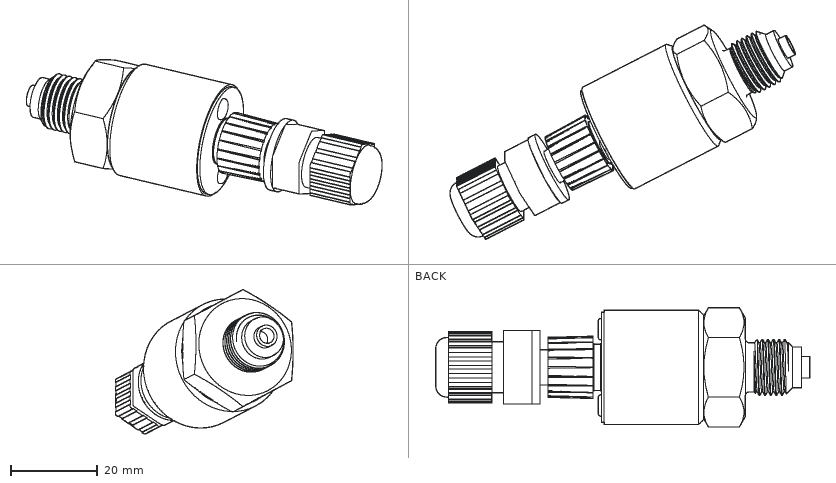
import cadquery as cq
import math


hex_sides = 6

tip_dia = 5.0
tip_end = 1.9
bore_dia = 3.55
bore_depth = 4.3
collar_dia = 9.5
collar_end = 4.0

thread_dia = 13.0
thread_root_dia = 11.45
thread_pitch = 1.3
thread_base_width = 1.2
thread_crest_width = 0.2
thread_end = 12.9
thread_root_overlap = 0.2
thread_clearance = 0.2
first_top_crest = 5.8
neck_fillet = 0.9

hex_start = 14.9
hex_end = 24.6
hex_corner_dia = 27.7
hex_front_face_dia = 22.8
hex_rear_face_dia = 23.8
hex_chamfer_angle = 30

housing_dia = 26.5
housing_chamfer = 1.1
housing_end = 47.7
cap_dia = 25.6
cap_end = 48.3
socket_dia = 11.0
socket_groove_dia = 10.75
socket_groove_start = 48.6
socket_groove_end = 50.05
socket_end = 57.25
screw_head_dia = 5.0
screw_head_height = 0.8
screw_head_fillet = 0.7
screw_spacing = 17.7

nut_start = 50.2
nut_end = 60.7
nut_front_dia = 14.5
nut_rear_dia = 14.0
nut_groove_count = 20
nut_groove_front_width = 0.2
nut_groove_rear_width = 0.4
nut_groove_depth = 0.3

stem_dia = 8.2
flange_start = 62.5
flange_dia = 17.1
flange_end = 64.4
gland_across_flats = 15.0
gland_corner_fillet = 0.8
gland_end = 71.0
gland_neck_dia = 11.9
cap_nut_start = 73.7
cap_nut_end = 83.8
cap_nut_across_flats = 14.5
cap_nut_corner_fillet = 0.7
cap_nut_groove_width = 1.0
cap_nut_groove_depth = 0.2
side_flat_grooves = (-2.95, -0.95, 0.95, 2.95)
slanted_flat_grooves = (-2.9, 0, 2.9)
dome_dia = 13.9
dome_fillet = 2.6
total_length = 86.7


def cylinder(dia, start, end):
    """Round bar along X."""
    return cq.Workplane("YZ", origin=(start, 0, 0)).circle(dia / 2).extrude(end - start)


def hexagon(across_flats, start, end):
    """Hexagonal bar along X with two flats facing -Y and +Y and corners on the Z axis."""
    corner_dia = across_flats / math.cos(math.pi / hex_sides)
    bar = cq.Workplane("YZ", origin=(start, 0, 0)).polygon(hex_sides, corner_dia).extrude(end - start)
    return bar.rotate((0, 0, 0), (1, 0, 0), 180 / hex_sides)


def revolve(points):
    """Solid of revolution about X from (x, radius) points that start and end on the axis."""
    return cq.Workplane("XY").polyline(points).close().revolve(360, (0, 0, 0), (1, 0, 0))


def thread_ridge():
    """Helical ridge of the port thread, longer than the threaded length at both ends."""
    root = thread_root_dia / 2
    crest = thread_dia / 2
    turns = math.ceil((thread_end - collar_end) / thread_pitch) + 2
    start = first_top_crest - 2 * thread_pitch

    path = cq.Workplane(obj=cq.Wire.makeHelix(thread_pitch, turns * thread_pitch, root))
    ridge = (
        cq.Workplane("XZ")
        .polyline([
            (root - thread_root_overlap, -thread_base_width / 2),
            (crest, -thread_crest_width / 2),
            (crest, thread_crest_width / 2),
            (root - thread_root_overlap, thread_base_width / 2),
        ])
        .close()
        .sweep(path, isFrenet=True)
    )
    ridge = ridge.rotate((0, 0, 0), (0, 1, 0), 90).rotate((0, 0, 0), (1, 0, 0), 180)
    return ridge.translate((start, 0, 0))


def threaded_length():
    """Threaded bar with 45 degree lead-ins at both ends."""
    root = thread_root_dia / 2
    collar = collar_dia / 2
    outer = thread_dia / 2 + thread_clearance
    bar = cylinder(thread_root_dia, 0, hex_end).union(thread_ridge())
    envelope = revolve([
        (collar_end, 0),
        (collar_end, collar),
        (collar_end + outer - collar, outer),
        (thread_end - outer + root, outer),
        (thread_end, root),
        (thread_end, 0),
    ])
    return bar.intersect(envelope)


def port():
    """Stepped pressure port with its bore, thread and filleted neck."""
    root = thread_root_dia / 2
    neck = (
        cq.Workplane("XY")
        .moveTo(thread_end, 0)
        .lineTo(thread_end, root)
        .lineTo(hex_start - neck_fillet, root)
        .radiusArc((hex_start, root + neck_fillet), -neck_fillet)
        .lineTo(hex_start, 0)
        .close()
        .revolve(360, (0, 0, 0), (1, 0, 0))
    )
    body = cylinder(tip_dia, 0, tip_end).union(cylinder(collar_dia, tip_end, collar_end))
    body = body.union(threaded_length()).union(neck)
    return body.cut(cylinder(bore_dia, 0, bore_depth))


def sensor_hexagon():
    """Wrench hexagon with turned chamfers on both faces."""
    across_flats = hex_corner_dia * math.cos(math.pi / hex_sides)
    slope = math.tan(math.radians(hex_chamfer_angle))
    corner = hex_corner_dia / 2
    front = hex_front_face_dia / 2
    rear = hex_rear_face_dia / 2
    envelope = revolve([
        (hex_start, 0),
        (hex_start, front),
        (hex_start + (corner - front) * slope, corner),
        (hex_end - (corner - rear) * slope, corner),
        (hex_end, rear),
        (hex_end, 0),
    ])
    return hexagon(across_flats, hex_start, hex_end).intersect(envelope)


def screw_head(z):
    """Rounded screw head on the rear face of the housing."""
    head = cylinder(screw_head_dia, cap_end, cap_end + screw_head_height)
    return head.faces(">X").edges().fillet(screw_head_fillet).translate((0, 0, z))


def socket():
    """Connector socket with a shallow groove where it is exposed in front of the coupling nut."""
    groove = cylinder(socket_dia, socket_groove_start, socket_groove_end)
    groove = groove.cut(cylinder(socket_groove_dia, socket_groove_start, socket_groove_end))
    return cylinder(socket_dia, cap_end, socket_end).cut(groove)


def make_sensor():
    """Pressure port, hexagon, housing and connector socket in one body."""
    housing = cylinder(housing_dia, hex_end, housing_end).faces("<X").chamfer(housing_chamfer)
    body = port().union(sensor_hexagon()).union(housing)
    body = body.union(cylinder(cap_dia, housing_end, cap_end))
    body = body.union(socket())
    for side in (-1, 1):
        body = body.union(screw_head(side * screw_spacing / 2))
    return body


def make_coupling_nut():
    """Tapered ring over the socket and stem, with grooves that widen to the rear."""
    nut = revolve([
        (nut_start, 0),
        (nut_start, nut_front_dia / 2),
        (nut_end, nut_rear_dia / 2),
        (nut_end, 0),
    ])
    nut = nut.cut(cylinder(socket_dia, nut_start, socket_end))
    nut = nut.cut(cylinder(stem_dia, socket_end, nut_end))

    groove = (
        cq.Workplane("XY", origin=(0, 0, nut_rear_dia / 2 - nut_groove_depth))
        .polyline([
            (nut_start, -nut_groove_front_width / 2),
            (nut_end, -nut_groove_rear_width / 2),
            (nut_end, nut_groove_rear_width / 2),
            (nut_start, nut_groove_front_width / 2),
        ])
        .close()
        .extrude(nut_front_dia / 2)
    )
    for i in range(nut_groove_count):
        nut = nut.cut(groove.rotate((0, 0, 0), (1, 0, 0), i * 360 / nut_groove_count))
    return nut


def make_cap_nut():
    """Hexagonal cap nut with shallow grip grooves along its flats and a domed end."""
    nut = hexagon(cap_nut_across_flats, cap_nut_start, cap_nut_end)
    nut = nut.edges("|X").fillet(cap_nut_corner_fillet)
    length = cap_nut_end - cap_nut_start
    middle = (cap_nut_start + cap_nut_end) / 2
    for i in range(hex_sides):
        offsets = side_flat_grooves if i % 3 == 0 else slanted_flat_grooves
        grooves = (
            cq.Workplane("XZ", origin=(middle, -cap_nut_across_flats / 2, 0))
            .pushPoints([(0, z) for z in offsets])
            .rect(length, cap_nut_groove_width)
            .extrude(-cap_nut_groove_depth)
        )
        nut = nut.cut(grooves.rotate((0, 0, 0), (1, 0, 0), i * 360 / hex_sides))
    dome = cylinder(dome_dia, cap_nut_end, total_length).faces(">X").edges().fillet(dome_fillet)
    return nut.union(dome)


def make_connector():
    """Stem, flange, gland hexagon and cap nut in one body."""
    gland = hexagon(gland_across_flats, flange_end, gland_end).edges("|X").fillet(gland_corner_fillet)
    body = cylinder(stem_dia, socket_end, flange_start)
    body = body.union(cylinder(flange_dia, flange_start, flange_end))
    body = body.union(gland)
    body = body.union(cylinder(gland_neck_dia, gland_end, cap_nut_start))
    return body.union(make_cap_nut())


sensor = make_sensor().solids()
coupling_nut = make_coupling_nut().solids()
connector = make_connector().solids()

result = cq.Compound.makeCompound([sensor.val(), coupling_nut.val(), connector.val()])